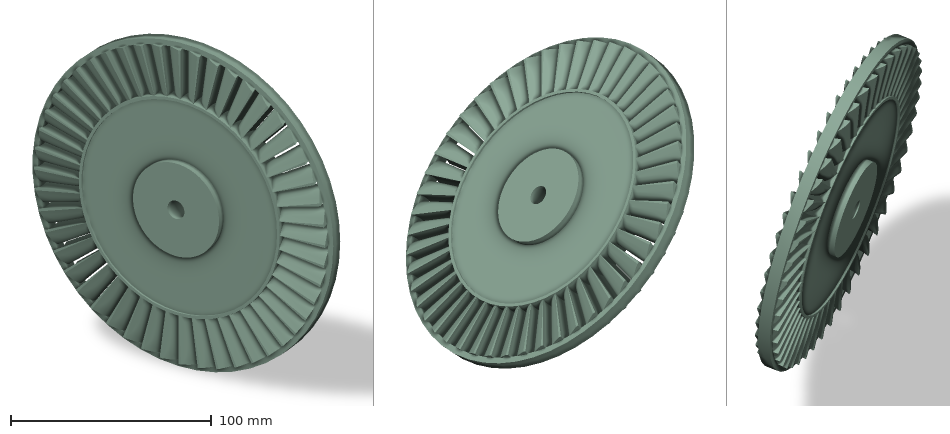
import cadquery as cq
import math

outer_radius = 89.1
shroud_bore_radius = 86.0
shroud_width = 6.5

rim_radius = 59.5
rim_width = 13.0
web_radius = 58.0
web_width = 10.9
boss_radius = 25.5
boss_width = 19.0
bore_radius = 5.0

blade_count = 48
blade_width = 12.5
root_plane = 58.6
tip_plane = 86.1
lip_shift = 0.5
nose_shift = 1.8
root_lip_thickness = 0.09
tip_lip_thickness = 1.5
face_hollow = 1.0

pitch_angle = 360.0 / blade_count
half_pitch_slope = math.tan(math.radians(pitch_angle / 2))


def cylinder(radius, width):
    """Cylinder on the Y axis, centred on the middle plane of the wheel."""
    return cq.Workplane("XZ", origin=(0, width / 2, 0)).circle(radius).extrude(width)


def ring(radius, hole_radius, width):
    return cylinder(radius, width).cut(cylinder(hole_radius, width))


def blade_section(distance, lip_thickness):
    """Bucket outline at a distance from the axis: hollow lip side, parabolic nose side."""
    half_width = blade_width / 2
    lip = -distance * half_pitch_slope - lip_shift
    nose = distance * half_pitch_slope - nose_shift
    edge = lip + lip_thickness

    crown_control = (2 * nose - edge, 0)

    plane = cq.Plane(origin=(distance, 0, 0), xDir=(0, 0, 1), normal=(1, 0, 0))
    return (
        cq.Workplane(plane)
        .moveTo(lip, -half_width)
        .lineTo(edge, -half_width)
        .bezier([crown_control, (edge, half_width)], includeCurrent=True)
        .lineTo(lip, half_width)
        .threePointArc((lip + face_hollow, 0), (lip, -half_width))
        .close()
        .wires()
        .val()
    )


def make_blade():
    root = blade_section(root_plane, root_lip_thickness)
    tip = blade_section(tip_plane, tip_lip_thickness)
    return cq.Solid.makeLoft([root, tip], True)


web = cylinder(rim_radius, web_width)
rim = ring(rim_radius, web_radius, rim_width)
boss = cylinder(boss_radius, boss_width)
disc = web.union(rim).union(boss)

shroud = ring(outer_radius, shroud_bore_radius, shroud_width)

axis_start = cq.Vector(0, 0, 0)
axis_end = cq.Vector(0, 1, 0)
first_blade = make_blade()
blades = [
    first_blade.rotate(axis_start, axis_end, -pitch_angle * (index + 0.5))
    for index in range(blade_count)
]

wheel = cq.Workplane(disc.val().fuse(shroud.val(), *blades))
bored_wheel = wheel.cut(cylinder(bore_radius, boss_width))
result = cq.Workplane(bored_wheel.solids().val())